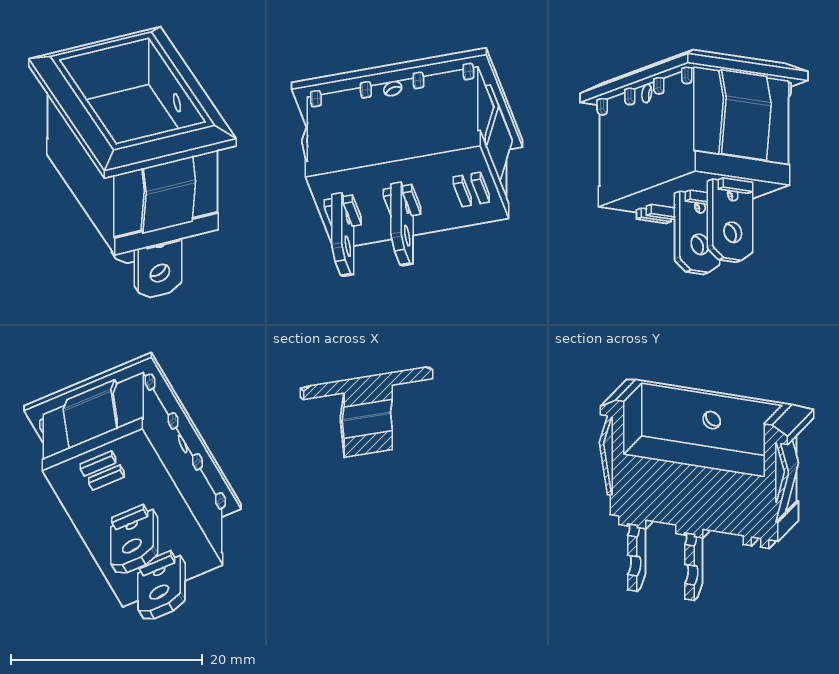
import cadquery as cq


overall_height = 21.45

bezel_length = 21.0
bezel_width = 14.85
bezel_height = 2.0
bezel_rim_height = bezel_height / 2
bezel_slope_run = 1.74

housing_length = 18.38
housing_width = 11.67
housing_depth = 11.2
base_length = 18.85
base_height = 2.2
base_top_z = base_height - housing_depth

pocket_length = 15.65
pocket_width = 10.0
pocket_depth = 6.0
cross_hole_diameter = 1.9

rib_positions = (-8.22, -2.83, 2.83, 8.22)
rib_length = 1.0
rib_depth = 1.55
rib_projection = 0.7
rib_embed = 0.21
rib_corner_radius = 0.5
rib_edge_radius = 0.24

clip_width = 5.55
clip_thickness = 0.54
clip_reach = 10.64
clip_bend_z = -3.13
clip_top_x = housing_length / 2 + clip_thickness
clip_outer_bend_radius = 0.85
clip_inner_bend_radius = clip_outer_bend_radius - clip_thickness

terminal_y = 0.06
first_terminal_x = 0.51
terminal_spacing = 6.4
terminal_positions = (first_terminal_x, first_terminal_x + terminal_spacing)
terminal_thickness = 1.1
terminal_width = 4.93
terminal_bottom_z = bezel_height - overall_height
terminal_tip_width = 2.19
terminal_taper_height = 1.0
terminal_corner_radius = 0.5
large_hole_diameter = 2.15
large_hole_z = -16.58
small_hole_diameter = 1.27
small_hole_z = -12.57
guide_thickness = 0.99
guide_width = 3.67
guide_height = 0.99
empty_slot_x = -6.95
empty_slot_gap = 0.97


def make_bezel():
    rim = cq.Workplane("XY").rect(bezel_length, bezel_width).extrude(bezel_rim_height)
    slope = (
        cq.Workplane("XY", origin=(0, 0, bezel_rim_height))
        .rect(bezel_length, bezel_width)
        .workplane(offset=bezel_height - bezel_rim_height)
        .rect(bezel_length - 2 * bezel_slope_run, bezel_width - 2 * bezel_slope_run)
        .loft(ruled=True)
    )
    return rim.union(slope)


def make_housing():
    upper = cq.Workplane("XY").rect(housing_length, housing_width).extrude(base_top_z)
    base = (
        cq.Workplane("XY", origin=(0, 0, base_top_z))
        .rect(base_length, housing_width)
        .extrude(-base_height)
    )
    return upper.union(base)


def make_rib(x):
    """Rib on the +Y side, its lower outer corner rounded, then its outer outline."""
    inner_y = housing_width / 2 - rib_embed
    rib = (
        cq.Workplane("XY", origin=(x, inner_y, -rib_depth))
        .box(rib_length, rib_projection + rib_embed, rib_depth, centered=(True, False, False))
    )
    rib = rib.edges(">Y and <Z").fillet(rib_corner_radius)
    return rib.faces(">Y").edges("|Z").fillet(rib_edge_radius)


def make_clip(foot_x):
    """Bent strip on the +X end; foot_x is the outer X of its lower end."""
    inner_reach = clip_reach - clip_thickness
    strip = (
        cq.Workplane("XZ")
        .moveTo(clip_top_x, 0)
        .lineTo(clip_reach, clip_bend_z)
        .lineTo(foot_x, base_top_z)
        .lineTo(foot_x - clip_thickness, base_top_z)
        .lineTo(inner_reach, clip_bend_z)
        .lineTo(clip_top_x - clip_thickness, 0)
        .close()
        .extrude(clip_width / 2, both=True)
    )
    bends = ((clip_reach, clip_outer_bend_radius), (inner_reach, clip_inner_bend_radius))
    for bend_x, radius in bends:
        bend = cq.NearestToPointSelector((bend_x, 0, clip_bend_z))
        strip = strip.edges(bend).fillet(radius)
    return strip


def make_terminal(x):
    half_width = terminal_width / 2
    half_tip = terminal_tip_width / 2
    shoulder_z = terminal_bottom_z + terminal_taper_height
    blade = (
        cq.Workplane("YZ", origin=(x, terminal_y, 0))
        .moveTo(-half_width, -housing_depth)
        .lineTo(-half_width, shoulder_z)
        .lineTo(-half_tip, terminal_bottom_z)
        .lineTo(half_tip, terminal_bottom_z)
        .lineTo(half_width, shoulder_z)
        .lineTo(half_width, -housing_depth)
        .close()
        .extrude(terminal_thickness / 2, both=True)
    )
    for side in (-1, 1):
        shoulder = (x, terminal_y + side * half_width, shoulder_z)
        blade = blade.edges(cq.NearestToPointSelector(shoulder)).fillet(terminal_corner_radius)
    holes = cq.Workplane("YZ", origin=(x, terminal_y, 0))
    for z, diameter in ((large_hole_z, large_hole_diameter), (small_hole_z, small_hole_diameter)):
        hole = holes.center(0, z).circle(diameter / 2).extrude(terminal_thickness, both=True)
        blade = blade.cut(hole)
    return blade


def make_guides(x, gap):
    """Two blocks under the housing, on either side of a gap centred at x."""
    offset = (gap + guide_thickness) / 2
    return (
        cq.Workplane("XY", origin=(x, terminal_y, -housing_depth))
        .pushPoints([(-offset, 0), (offset, 0)])
        .rect(guide_thickness, guide_width)
        .extrude(-guide_height)
    )


body = make_bezel().union(make_housing())

pocket = (
    cq.Workplane("XY", origin=(0, 0, bezel_height))
    .rect(pocket_length, pocket_width)
    .extrude(-pocket_depth)
)
cross_hole = (
    cq.Workplane("XZ", origin=(0, 0, -cross_hole_diameter / 2))
    .circle(cross_hole_diameter / 2)
    .extrude(housing_width, both=True)
)
body = body.cut(pocket).cut(cross_hole)

for rib_x in rib_positions:
    rib = make_rib(rib_x)
    body = body.union(rib).union(rib.mirror("XZ"))

body = body.union(make_clip(clip_top_x))
body = body.union(make_clip(housing_length / 2).mirror("YZ"))

for terminal_x in terminal_positions:
    body = body.union(make_terminal(terminal_x))
    body = body.union(make_guides(terminal_x, terminal_thickness))
body = body.union(make_guides(empty_slot_x, empty_slot_gap))

result = body